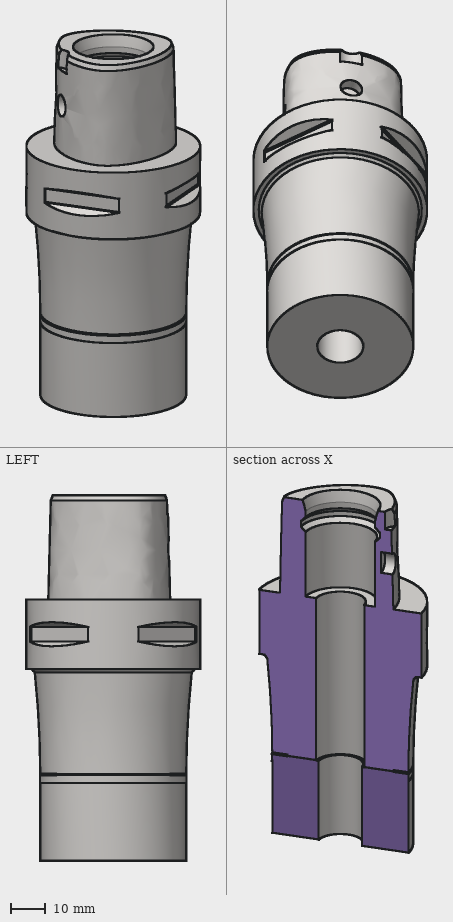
import cadquery as cq
import math

total_length = 105.0
nut_rim_bottom = 22.4
nut_length = 24.6
gap_height = 0.4
flange_height = 20.1
shank_length = 29.9
flange_top = total_length - shank_length
flange_bottom = flange_top - flange_height
neck_bottom = nut_length + gap_height

flange_radius = 25.0
relief_outer_radius = 23.4
relief_height = 0.9
neck_top = flange_bottom - relief_height
neck_top_radius = 22.6
neck_middle_radius = 21.4
neck_bottom_radius = 21.0
spigot_radius = 16.4

nut_radius = 21.0
nut_rim_radius = 21.1
nut_bore_radius = 6.6

shank_mean_radius = 17.5
lobe_height = 1.2
lobe_points = 48
shank_taper = 1 / 40
tip_height = 1.6
tip_inset = 0.6

mouth_radius = 11.5
mouth_depth = 3.5
seat_radius = 10.6
groove_radius = 12.1
groove_start = 5.4
groove_end = 9.9
groove_slope = groove_radius - seat_radius
seat_depth = shank_length
holder_bore_radius = 7.4

notch_radius = 4.0
notch_innermost = 13.9
notch_depth = 5.5
side_hole_radius = 3.2
side_hole_level = 89.0
side_hole_floor = 12.6

slot_count = 4
slot_first_angle = 45.0
slot_length = 23.5
slot_floor_distance = 21.4
slot_flare_distance = math.sqrt(flange_radius**2 - (slot_length / 2)**2)
slot_floor_height = 4.2
slot_mouth_height = 6.9
slot_level = (flange_top + flange_bottom) / 2


def lobed_wire(mean_radius, level):
    """Closed curve of constant width with three lobes, one of them pointing to +Y."""
    points = []
    for index in range(lobe_points):
        angle = 2 * math.pi * index / lobe_points - math.pi / 2
        x = mean_radius * math.cos(angle)
        x += lobe_height * (math.sin(4 * angle) - 2 * math.sin(2 * angle))
        y = mean_radius * math.sin(angle)
        y -= lobe_height * (math.cos(4 * angle) + 2 * math.cos(2 * angle))
        points.append(cq.Vector(x, y, level))
    return cq.Wire.assembleEdges([cq.Edge.makeSpline(points, periodic=True)])


def make_shank():
    tip_bottom = total_length - tip_height
    tip_mean_radius = shank_mean_radius - shank_taper * (shank_length - tip_height)
    base = lobed_wire(shank_mean_radius, flange_top)
    shoulder = lobed_wire(tip_mean_radius, tip_bottom)
    end = lobed_wire(tip_mean_radius - tip_inset, total_length)
    taper = cq.Solid.makeLoft([base, shoulder], True)
    tip = cq.Solid.makeLoft([shoulder, end], True)
    return cq.Workplane(obj=taper).union(cq.Workplane(obj=tip))


def make_flange_and_neck():
    neck_middle = (neck_top + neck_bottom) / 2
    profile = (
        cq.Workplane("XZ")
        .moveTo(0, nut_length)
        .lineTo(spigot_radius, nut_length)
        .lineTo(spigot_radius, neck_bottom)
        .lineTo(neck_bottom_radius, neck_bottom)
        .threePointArc((neck_middle_radius, neck_middle), (neck_top_radius, neck_top))
        .lineTo(relief_outer_radius, flange_bottom)
        .lineTo(flange_radius, flange_bottom)
        .lineTo(flange_radius, flange_top)
        .lineTo(0, flange_top)
        .close()
    )
    return profile.revolve(360, (0, 0), (0, 1))


def make_bore():
    profile = [
        (0, nut_length),
        (holder_bore_radius, nut_length),
        (holder_bore_radius, total_length - seat_depth),
        (seat_radius, total_length - seat_depth),
        (seat_radius, total_length - groove_end),
        (groove_radius, total_length - groove_end + groove_slope),
        (groove_radius, total_length - groove_start - groove_slope),
        (seat_radius, total_length - groove_start),
        (seat_radius, total_length - mouth_depth),
        (mouth_radius, total_length),
        (0, total_length),
    ]
    return cq.Workplane("XZ").polyline(profile).close().revolve(360, (0, 0), (0, 1))


def make_notch():
    notch = cq.Workplane("XY", origin=(0, 0, total_length - notch_depth))
    return notch.center(0, -notch_innermost - notch_radius).circle(notch_radius).extrude(notch_depth)


def make_side_hole():
    hole = cq.Workplane("XZ", origin=(0, -side_hole_floor, side_hole_level))
    return hole.circle(side_hole_radius).extrude(shank_mean_radius - side_hole_floor)


def make_slot(angle):
    """Flat-floored slot that starts to flare where its ends meet the flange's surface."""
    floor_half = slot_floor_height / 2
    mouth_half = slot_mouth_height / 2
    profile = [
        (slot_floor_distance, slot_level - floor_half),
        (slot_flare_distance, slot_level - floor_half),
        (flange_radius, slot_level - mouth_half),
        (flange_radius, slot_level + mouth_half),
        (slot_flare_distance, slot_level + floor_half),
        (slot_floor_distance, slot_level + floor_half),
    ]
    slot = cq.Workplane("XZ").polyline(profile).close().extrude(slot_length / 2, both=True)
    return slot.rotate((0, 0, 0), (0, 0, 1), angle)


def make_holder():
    holder = make_flange_and_neck().union(make_shank())
    holder = holder.cut(make_bore()).cut(make_notch()).cut(make_side_hole())
    for index in range(slot_count):
        holder = holder.cut(make_slot(slot_first_angle + index * 360 / slot_count))
    return holder


def make_nut():
    """Round nut with a slightly raised rim next to the holder."""
    nut = cq.Workplane("XY").circle(nut_radius).extrude(nut_length)
    rim = cq.Workplane("XY", origin=(0, 0, nut_rim_bottom)).circle(nut_rim_radius)
    nut = nut.union(rim.extrude(nut_length - nut_rim_bottom))
    bore = cq.Workplane("XY").circle(nut_bore_radius).extrude(nut_length)
    return nut.cut(bore)


holder = make_holder()
nut = make_nut()
result = cq.Compound.makeCompound([*holder.solids().vals(), *nut.solids().vals()])